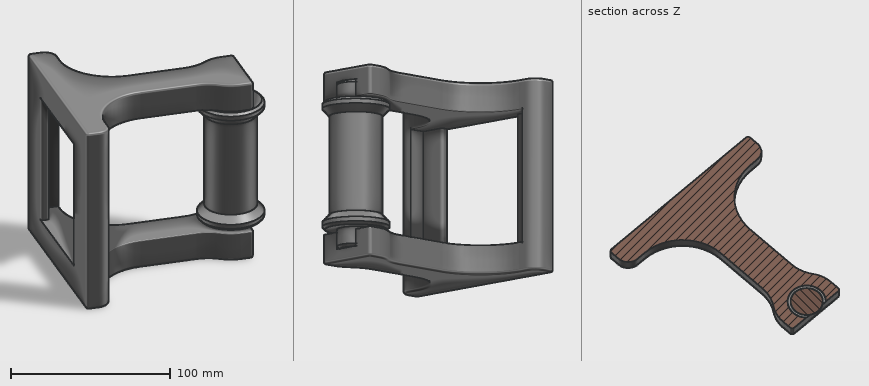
import cadquery as cq
import math

PLATE_SIZE = 123.0
PLATE_THICKNESS = 17.0
PLATE_CORNER_RADIUS = 8.4
ARM_THICKNESS = 19.1
ARM_WIDTH = 26.0
ARM_END_Y = 123.0
ROOT_RADIUS = 34.0
NECK_RADIUS = 25.0
EDGE_RADIUS = 2.0
INNER_EDGE_RADIUS = 0.8
WINDOW_WIDTH = 66.5
LIP_THICKNESS = 5.7
PILLAR_WIDTH = 11.5

ROLLER_END_Y = 135.8
FLANGE_RADIUS = 21.3
FLANGE_CHAMFER = 1.8
FLANGE_RIM = 2.9
FLANGE_CONE = 4.8
BARREL_RADIUS = 16.8
ROLLER_HEIGHT = 81.8
AXLE_RADIUS = 12.0
AXLE_LENGTH = 106.7
AXLE_CHAMFER = 1.8

HALF_PLATE = PLATE_SIZE / 2
HALF_ARM = ARM_WIDTH / 2
ROLLER_Y = ROLLER_END_Y - FLANGE_RADIUS
HEAD_RADIUS = FLANGE_RADIUS
WINDOW_HEIGHT = PLATE_SIZE - 2 * ARM_THICKNESS
POCKET_WIDTH = PLATE_SIZE - 2 * PILLAR_WIDTH


def point_on_circle(centre, radius, angle):
    return (centre[0] + radius * math.cos(angle), centre[1] + radius * math.sin(angle))


def frame_outline():
    """Closed outline of plate, arm and head seen along Z, symmetric about X = 0."""
    corner = (HALF_PLATE - PLATE_CORNER_RADIUS, PLATE_THICKNESS - PLATE_CORNER_RADIUS)
    root = (HALF_ARM + ROOT_RADIUS, PLATE_THICKNESS + ROOT_RADIUS)
    head = (0, ROLLER_Y)

    neck_x = HALF_ARM + NECK_RADIUS
    centre_distance = HEAD_RADIUS + NECK_RADIUS
    neck = (neck_x, ROLLER_Y - math.sqrt(centre_distance**2 - neck_x**2))
    head_angle = math.atan2(neck[1] - ROLLER_Y, neck_x)
    neck_mid_angle = math.pi + head_angle / 2

    half = (
        cq.Workplane("XY")
        .lineTo(HALF_PLATE, 0)
        .lineTo(HALF_PLATE, corner[1])
        .threePointArc(
            point_on_circle(corner, PLATE_CORNER_RADIUS, math.pi / 4),
            (corner[0], PLATE_THICKNESS),
        )
        .lineTo(root[0], PLATE_THICKNESS)
        .threePointArc(
            point_on_circle(root, ROOT_RADIUS, math.pi * 5 / 4),
            (HALF_ARM, root[1]),
        )
        .lineTo(HALF_ARM, neck[1])
        .threePointArc(
            point_on_circle(neck, NECK_RADIUS, neck_mid_angle),
            point_on_circle(head, HEAD_RADIUS, head_angle),
        )
        .threePointArc(
            point_on_circle(head, HEAD_RADIUS, head_angle / 2),
            (HEAD_RADIUS, ROLLER_Y),
        )
        .lineTo(HEAD_RADIUS, ARM_END_Y)
        .lineTo(0, ARM_END_Y)
    )
    return half.mirrorY()


def box_between_arms(width, start_y, end_y):
    """Block that fills the gap between the arms from start_y to end_y."""
    return (
        cq.Workplane("XY")
        .box(width, end_y - start_y, WINDOW_HEIGHT, centered=(True, False, True))
        .translate((0, start_y, 0))
    )


def make_frame():
    body = frame_outline().extrude(HALF_PLATE, both=True)
    body = body.faces("<Y or >Y or >Z or <Z").edges().fillet(EDGE_RADIUS)

    body = body.cut(box_between_arms(PLATE_SIZE, PLATE_THICKNESS, ARM_END_Y))
    body = body.cut(box_between_arms(POCKET_WIDTH, LIP_THICKNESS, PLATE_THICKNESS))

    reach_x = POCKET_WIDTH / 2 - INNER_EDGE_RADIUS
    reach_z = WINDOW_HEIGHT / 2 + INNER_EDGE_RADIUS
    inner_edges = cq.selectors.BoxSelector(
        (-reach_x, PLATE_THICKNESS - INNER_EDGE_RADIUS, -reach_z),
        (reach_x, ARM_END_Y + INNER_EDGE_RADIUS, reach_z),
    )
    body = body.edges(inner_edges).fillet(INNER_EDGE_RADIUS)

    body = body.cut(box_between_arms(WINDOW_WIDTH, 0, LIP_THICKNESS))

    half_window = WINDOW_WIDTH / 2
    side_edges = cq.selectors.BoxSelector(
        (-half_window - EDGE_RADIUS, -EDGE_RADIUS, -EDGE_RADIUS),
        (half_window + EDGE_RADIUS, LIP_THICKNESS + EDGE_RADIUS, EDGE_RADIUS),
    )
    body = body.edges("|Z").edges(side_edges).fillet(EDGE_RADIUS)

    axle_space = (
        cq.Workplane("XY")
        .center(0, ROLLER_Y)
        .circle(AXLE_RADIUS)
        .extrude(AXLE_LENGTH / 2, both=True)
    )
    return body.cut(axle_space)


def make_roller():
    """Barrel with two flanges and axle ends, turned about the Z direction."""
    axle_end = AXLE_LENGTH / 2
    flange_end = ROLLER_HEIGHT / 2
    rim_outer = flange_end - FLANGE_CHAMFER
    rim_inner = rim_outer - FLANGE_RIM
    upper_half = [
        (BARREL_RADIUS, rim_inner - FLANGE_CONE),
        (FLANGE_RADIUS, rim_inner),
        (FLANGE_RADIUS, rim_outer),
        (FLANGE_RADIUS - FLANGE_CHAMFER, flange_end),
        (AXLE_RADIUS, flange_end),
        (AXLE_RADIUS, axle_end - AXLE_CHAMFER),
        (AXLE_RADIUS - AXLE_CHAMFER, axle_end),
        (0, axle_end),
    ]
    lower_half = [(radius, -height) for radius, height in reversed(upper_half)]
    return (
        cq.Workplane("XZ")
        .polyline(lower_half + upper_half)
        .close()
        .revolve(360, (0, 0, 0), (0, 1, 0))
        .translate((0, ROLLER_Y, 0))
    )


frame = make_frame()
roller = make_roller()

result = cq.Compound.makeCompound([frame.val(), roller.val()])